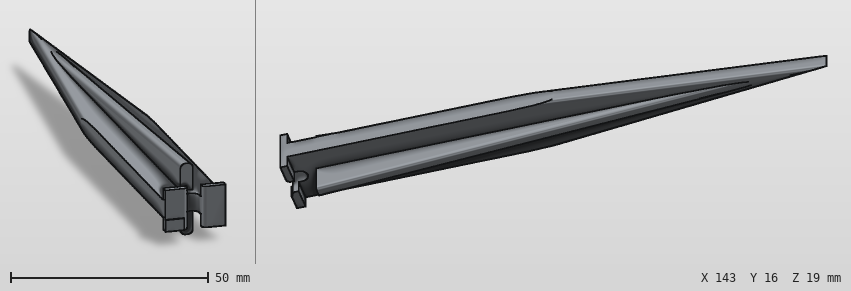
import cadquery as cq

length = 143.0
plate_width = 16.0
rib_span = 19.0

plate_thickness = 4.7
taper_length = 69.9
tip_width = 0.5
edge_radius = 1.3

rib_width = 3.3
rib_start = 15.7
rib_end = 135.0
rib_emergence = 19.7

head_height = 11.0
head_thickness = 1.9
slot_width = 3.9
slot_bottom = 137.7
slot_mouth_radius = 1.1
lug_extension = 0.5
head_end = length - lug_extension


def half_point_plate(side):
    """Plate with one tapered long edge, rounded above and below."""
    outer_y = side * plate_width / 2
    tip_y = side * tip_width / 2
    outline = [(0, -outer_y), (0, tip_y), (taper_length, outer_y), (head_end, outer_y), (head_end, -outer_y)]
    plate = cq.Workplane("XY").polyline(outline).close().extrude(plate_thickness / 2, both=True)
    taper_middle = (taper_length / 2, side * (plate_width + tip_width) / 4)
    for z in (-plate_thickness / 2, plate_thickness / 2):
        nearest_edge = cq.selectors.NearestToPointSelector((*taper_middle, z))
        plate = plate.edges(nearest_edge).fillet(edge_radius)
    return plate


def make_rib():
    """Rib widening in Z toward the head, with rounded crests."""
    end_z = rib_span / 2
    slope = (end_z - plate_thickness / 2) / (rib_end - rib_emergence)
    start_z = end_z - slope * (rib_end - rib_start)
    outline = [(rib_start, -start_z), (rib_end, -end_z), (rib_end, end_z), (rib_start, start_z)]
    rib = cq.Workplane("XZ").polyline(outline).close().extrude(rib_width / 2, both=True)
    middle_x = (rib_start + rib_end) / 2
    middle_z = (start_z + end_z) / 2
    for y in (-rib_width / 2, rib_width / 2):
        for z in (-middle_z, middle_z):
            nearest_edge = cq.selectors.NearestToPointSelector((middle_x, y, z))
            rib = rib.edges(nearest_edge).fillet(edge_radius)
    return rib


def make_slot():
    """Open slot with a round bottom, cut through the head and plate."""
    radius = slot_width / 2
    return (
        cq.Workplane("XY")
        .moveTo(head_end, -radius)
        .lineTo(slot_bottom + radius, -radius)
        .threePointArc((slot_bottom, 0), (slot_bottom + radius, radius))
        .lineTo(head_end, radius)
        .close()
        .extrude(head_height, both=True)
    )


def make_lug_extension():
    """Thin pad on the end of the lower -Y lug, ending where the slot mouth rounding begins."""
    inner_y = -slot_width / 2 - slot_mouth_radius
    return (
        cq.Workplane("YZ", origin=(head_end, 0, 0))
        .moveTo(-plate_width / 2, -head_height / 2)
        .lineTo(inner_y, -head_height / 2)
        .lineTo(inner_y, -plate_thickness / 2)
        .lineTo(-plate_width / 2, -plate_thickness / 2)
        .close()
        .extrude(lug_extension)
    )


plate = half_point_plate(1).intersect(half_point_plate(-1))
head = cq.Workplane("XY").box(head_thickness, plate_width, head_height)
head = head.translate((head_end - head_thickness / 2, 0, 0))

body = plate.union(make_rib()).union(head).cut(make_slot()).clean()

mouth_corners = cq.selectors.BoxSelector(
    (head_end - head_thickness / 2, -slot_width, -head_height),
    (head_end + head_thickness / 2, slot_width, head_height),
)
body = body.edges("|Z").edges(mouth_corners).fillet(slot_mouth_radius)

result = body.union(make_lug_extension())